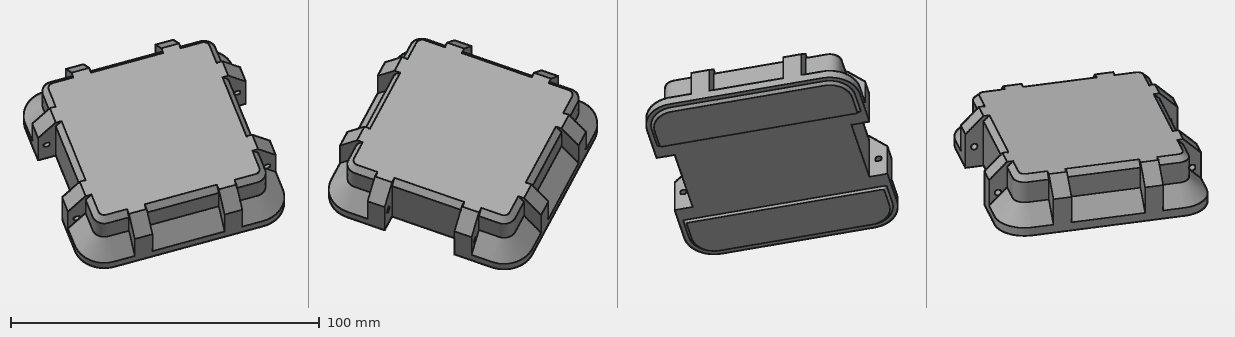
import cadquery as cq

SIDE = 71.0
HEIGHT = 19.6

FOOT_HEIGHT = 1.0
FLANGE_HEIGHT = 3.05
STEP = 6.0
FLANGE_TOP = FOOT_HEIGHT + FLANGE_HEIGHT
SLOPE_TOP = FLANGE_TOP + STEP

CORNER_RADIUS = 10.0
TOP_CHAMFER = 2.0
BLOCK_SIDE = SIDE - 2 * STEP

RIB_WIDTH = 6.0
RIB_GAP = 24.65
RIB_CENTRE = (RIB_GAP + RIB_WIDTH) / 2
RIB_ROOT = BLOCK_SIDE / 2 - TOP_CHAMFER

HOLE_DIAMETER = 2.1
HOLE_EDGE = 3.0
HOLE_HEIGHT = 8.5

FOOT_INSET = 1.55
FOOT_BEVEL = FOOT_HEIGHT
CHANNEL_WIDTH = 35.1
CHANNEL_LEAN = 0.5
MOUTH_RADIUS = 0.85


def tapered_slab(side, radius, bottom, height, inset):
    """Rounded square slab whose walls lean in (or out, if inset is negative) over its height."""
    bottom_face = cq.Sketch().rect(side, side).vertices().fillet(radius)
    base = cq.Workplane("XY", origin=(0, 0, bottom))
    if inset == 0:
        return base.placeSketch(bottom_face).extrude(height)
    top_side = side - 2 * inset
    top_face = cq.Sketch().rect(top_side, top_side).vertices().fillet(radius - inset)
    raised_top = top_face.moved(cq.Location(cq.Vector(0, 0, height)))
    return base.placeSketch(bottom_face, raised_top).loft()


def make_body():
    """Flange rim, sloped shoulder, upright block and bevelled top edge."""
    block_radius = CORNER_RADIUS - STEP
    bevel_bottom = HEIGHT - TOP_CHAMFER
    rim = tapered_slab(SIDE, CORNER_RADIUS, FOOT_HEIGHT, FLANGE_HEIGHT, 0)
    shoulder = tapered_slab(SIDE, CORNER_RADIUS, FLANGE_TOP, STEP, STEP)
    block = tapered_slab(BLOCK_SIDE, block_radius, SLOPE_TOP, bevel_bottom - SLOPE_TOP, 0)
    bevel = tapered_slab(BLOCK_SIDE, block_radius, bevel_bottom, TOP_CHAMFER, TOP_CHAMFER)
    return rim.union(shoulder).union(block).union(bevel)


def make_rib():
    """Rib on the +X side, centred on Y, with its outer top corner cut at 45 degrees."""
    profile = [
        (RIB_ROOT, FOOT_HEIGHT),
        (SIDE / 2, FOOT_HEIGHT),
        (SIDE / 2, HEIGHT - STEP),
        (BLOCK_SIDE / 2, HEIGHT),
        (RIB_ROOT, HEIGHT),
    ]
    return cq.Workplane("XZ").polyline(profile).close().extrude(RIB_WIDTH / 2, both=True)


def make_feet():
    """Two long feet split by a channel along Y, bevelled outside and rounded at the channel mouths."""
    ground_side = SIDE - 2 * (FOOT_INSET + FOOT_BEVEL)
    ground_radius = CORNER_RADIUS - FOOT_INSET - FOOT_BEVEL
    pad = tapered_slab(ground_side, ground_radius, 0, FOOT_HEIGHT, -FOOT_BEVEL)
    half_root = CHANNEL_WIDTH / 2
    half_ground = half_root + CHANNEL_LEAN
    profile = [
        (-half_ground, 0),
        (half_ground, 0),
        (half_root, FOOT_HEIGHT),
        (-half_root, FOOT_HEIGHT),
    ]
    channel = cq.Workplane("XZ").polyline(profile).close().extrude(SIDE / 2, both=True)
    mouth_edges = cq.selectors.BoxSelector(
        (-half_ground, -SIDE / 2, 0), (half_ground, SIDE / 2, FOOT_HEIGHT)
    )
    feet = pad.cut(channel)
    return feet.edges(mouth_edges).edges("not #Z").fillet(MOUTH_RADIUS)


part = make_body()

notch = cq.Workplane("XY").box(RIB_GAP, STEP, HEIGHT, centered=(True, True, False))
for direction in (-1, 1):
    part = part.cut(notch.translate((0, direction * (SIDE - STEP) / 2, 0)))

for angle in (0, 90, 180, 270):
    for offset in (-RIB_CENTRE, RIB_CENTRE):
        rib = make_rib().translate((0, offset, 0))
        part = part.union(rib.rotate((0, 0, 0), (0, 0, 1), angle))

for hole_y in (HOLE_EDGE - SIDE / 2, SIDE / 2 - HOLE_EDGE):
    hole = cq.Workplane("YZ").center(hole_y, HOLE_HEIGHT).circle(HOLE_DIAMETER / 2)
    part = part.cut(hole.extrude(RIB_CENTRE + RIB_WIDTH / 2, both=True))

result = part.union(make_feet())